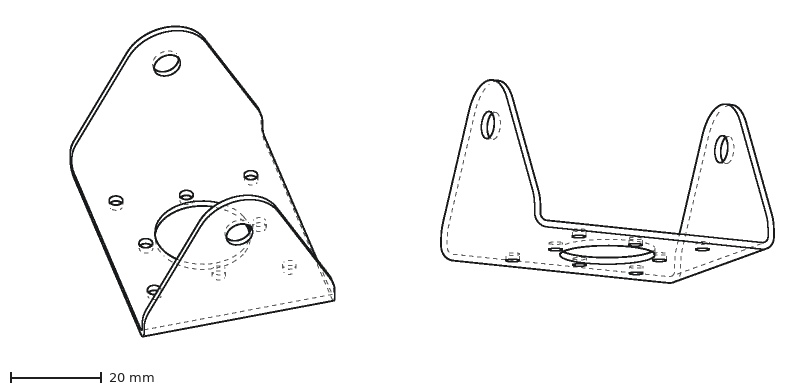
import cadquery as cq
import math

length = 60.0
width = 43.8
height = 36.5
thickness = 1.5
inner_bend_radius = 1.5
outer_bend_radius = inner_bend_radius + thickness

tip_radius = 10.0
pivot_diameter = 6.0
pivot_height = height - tip_radius
shoulder_height = 6.4
shoulder_radius = 8.0

bore_diameter = 21.0
screw_diameter = 3.0
screw_circle_radius = 13.0
corner_hole_offset = 15.5


def bent_channel():
    """U-shaped sheet with rounded bends along Y, resting on Z = 0."""
    outer = (
        cq.Workplane("XY")
        .box(length, width, height, centered=(True, True, False))
        .edges("|Y and <Z")
        .fillet(outer_bend_radius)
    )
    inner = (
        cq.Workplane("XY")
        .workplane(offset=thickness)
        .box(length - 2 * thickness, width, height, centered=(True, True, False))
        .edges("|Y and <Z")
        .fillet(inner_bend_radius)
    )
    return outer.cut(inner)


def ear_envelope():
    """Prism along X with the ear outline: sloping sides tangent to a round tip."""
    half_width = width / 2
    pick_margin = thickness
    rise = pivot_height - shoulder_height
    slope = math.atan2(half_width, rise) - math.asin(tip_radius / math.hypot(half_width, rise))
    tangent_y = tip_radius * math.cos(slope)
    tangent_z = pivot_height + tip_radius * math.sin(slope)
    return (
        cq.Workplane("YZ")
        .moveTo(-half_width, 0)
        .lineTo(half_width, 0)
        .lineTo(half_width, shoulder_height)
        .lineTo(tangent_y, tangent_z)
        .threePointArc((0, height), (-tangent_y, tangent_z))
        .lineTo(-half_width, shoulder_height)
        .close()
        .extrude(length / 2, both=True)
        .edges(cq.selectors.BoxSelector(
            (-length, -width, shoulder_height - pick_margin),
            (length, width, shoulder_height + pick_margin),
        ))
        .edges("|X")
        .fillet(shoulder_radius)
    )


def pivot_holes():
    """One cylinder through both ears."""
    return (
        cq.Workplane("YZ")
        .center(0, pivot_height)
        .circle(pivot_diameter / 2)
        .extrude(length / 2, both=True)
    )


def base_holes():
    """Central bore, four screw holes around it and four corner holes."""
    bore = cq.Workplane("XY").circle(bore_diameter / 2).extrude(thickness)
    ring = (
        cq.Workplane("XY")
        .polarArray(screw_circle_radius, 0, 360, 4)
        .circle(screw_diameter / 2)
        .extrude(thickness)
    )
    corners = (
        cq.Workplane("XY")
        .rect(2 * corner_hole_offset, 2 * corner_hole_offset, forConstruction=True)
        .vertices()
        .circle(screw_diameter / 2)
        .extrude(thickness)
    )
    return bore.add(ring).add(corners).combine()


result = bent_channel().intersect(ear_envelope()).cut(pivot_holes()).cut(base_holes())